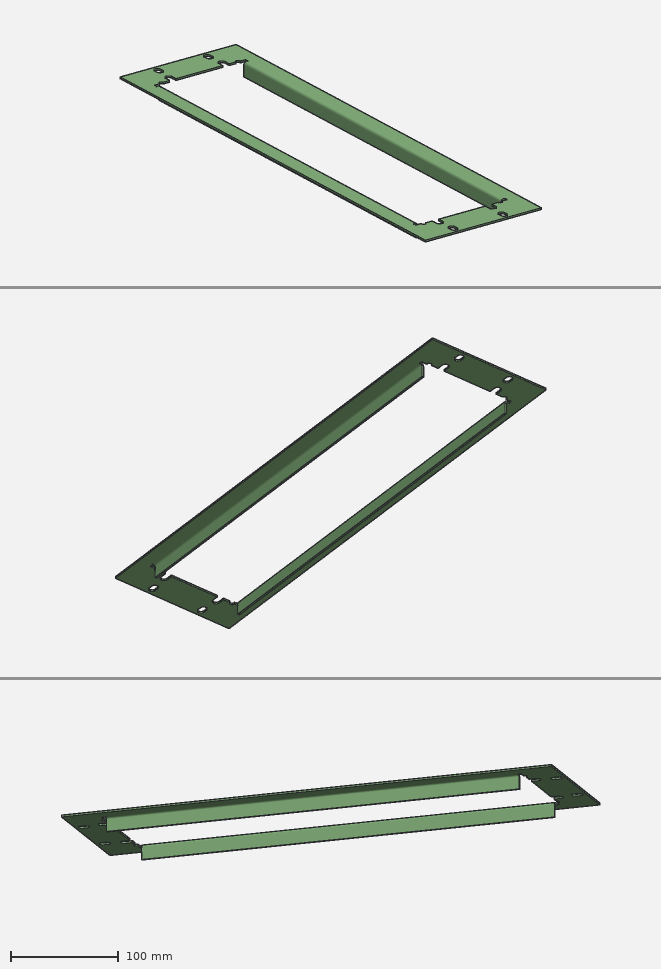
import cadquery as cq

length = 482.5
width = 132.5
height = 15.0
thickness = 2.0

side_margin = 34.0
flange_margin = 38.0
flange_inner_y = 47.5
bend_inner_radius = 1.5
bend_outer_radius = bend_inner_radius + thickness
bend_start_y = flange_inner_y + bend_outer_radius
window_half_length = length / 2 - side_margin
flange_half_length = length / 2 - flange_margin

relief_width = 3.5
relief_end_y = 52.0
corner_half_width = 46.0
corner_relief_radius = 2.5
corner_relief_inset = 34.5
corner_relief_y = 44.0

slot_length = 10.5
slot_width = 6.8
slot_edge_distance = 8.5
slot_y = 28.5

notch_depth = 10.0
notch_width = 7.0
notch_y = 30.5


def slot_cutter(x, y, slot_len, slot_wid):
    """Round-ended slot along X through the plate."""
    return (
        cq.Workplane("XY", origin=(x, y, -thickness))
        .slot2D(slot_len, slot_wid)
        .extrude(thickness)
    )


def block_cutter(x, y, x_size, y_size):
    """Rectangular cut centred at x, y through the plate."""
    return (
        cq.Workplane("XY", origin=(x, y, -thickness))
        .rect(x_size, y_size)
        .extrude(thickness)
    )


def make_flange():
    """Flange on the +Y side, folded down with a rounded bend."""
    bend_center_z = -bend_outer_radius
    diagonal = 0.5 ** 0.5

    def bend_midpoint(radius):
        return (bend_start_y - radius * diagonal, bend_center_z + radius * diagonal)

    return (
        cq.Workplane("YZ", origin=(-flange_half_length, 0, 0))
        .moveTo(bend_start_y, 0)
        .threePointArc(bend_midpoint(bend_outer_radius), (flange_inner_y, bend_center_z))
        .lineTo(flange_inner_y, -height)
        .lineTo(flange_inner_y + thickness, -height)
        .lineTo(flange_inner_y + thickness, bend_center_z)
        .threePointArc(bend_midpoint(bend_inner_radius), (bend_start_y, -thickness))
        .close()
        .extrude(2 * flange_half_length)
    )


plate = cq.Workplane("XY").rect(length, width).extrude(-thickness)

plate = plate.cut(block_cutter(0, 0, 2 * window_half_length, 2 * corner_half_width))
plate = plate.cut(block_cutter(0, 0, 2 * flange_half_length, 2 * bend_start_y))

for x_side in (-1, 1):
    for y_side in (-1, 1):
        slot_x = x_side * (length / 2 - slot_edge_distance)
        plate = plate.cut(slot_cutter(slot_x, y_side * slot_y, slot_length, slot_width))

        notch_x = x_side * window_half_length
        plate = plate.cut(slot_cutter(notch_x, y_side * notch_y, 2 * notch_depth, notch_width))

        relief_x = x_side * (flange_half_length + relief_width / 2)
        plate = plate.cut(block_cutter(relief_x, 0, relief_width, 2 * relief_end_y))

        corner_x = x_side * (length / 2 - corner_relief_inset)
        corner_relief = (
            cq.Workplane("XY", origin=(corner_x, y_side * corner_relief_y, -thickness))
            .circle(corner_relief_radius)
            .extrude(thickness)
        )
        plate = plate.cut(corner_relief)

flange = make_flange()
result = plate.union(flange).union(flange.mirror("XZ"))